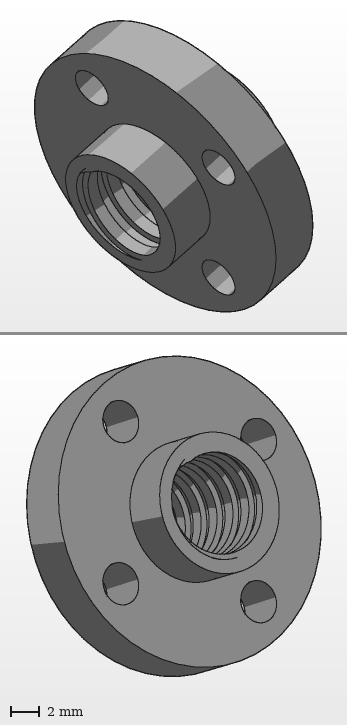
import cadquery as cq
import math

flange_diameter = 22.0
flange_thickness = 4.0
hub_diameter = 10.0
hub_length = 11.5

hole_diameter = 3.0
hole_spacing = 11.53

minor_diameter = 7.2
major_diameter = 8.0
pitch = 2.0
flank_angle = 15.0
groove_mouth_width = pitch / 2
groove_end_angle = 228.0
bore_overlap = 0.1


def make_body():
    """Flange centred on a hub, with the shared axis along Z."""
    hub = cq.Workplane("XY").cylinder(hub_length, hub_diameter / 2)
    flange = cq.Workplane("XY").cylinder(flange_thickness, flange_diameter / 2)
    return hub.union(flange)


def cut_holes(body):
    """Cut the threaded bore's core and the four mounting holes."""
    bore = cq.Workplane("XY").cylinder(hub_length, minor_diameter / 2)
    holes = (
        cq.Workplane("XY")
        .rect(hole_spacing, hole_spacing, forConstruction=True)
        .vertices()
        .cylinder(flange_thickness, hole_diameter / 2)
    )
    return body.cut(bore).cut(holes)


def make_thread_groove():
    """Helical trapezoidal cutter that runs one pitch past both hub ends."""
    inner_radius = minor_diameter / 2 - bore_overlap
    outer_radius = major_diameter / 2
    slope = math.tan(math.radians(flank_angle))
    inner_half = groove_mouth_width / 2 + bore_overlap * slope
    outer_half = inner_half - (outer_radius - inner_radius) * slope

    path = cq.Wire.makeHelix(pitch, hub_length + 2 * pitch, minor_diameter / 2)
    groove = (
        cq.Workplane("XZ")
        .polyline([
            (inner_radius, -inner_half),
            (outer_radius, -outer_half),
            (outer_radius, outer_half),
            (inner_radius, inner_half),
        ])
        .close()
        .sweep(cq.Workplane(path), isFrenet=True)
    )
    angle_at_front_face = 360 * (hub_length + pitch) / pitch
    return (
        groove.translate((0, 0, -hub_length / 2 - pitch))
        .rotate((0, 0, 0), (0, 0, 1), groove_end_angle - angle_at_front_face)
    )


nut = cut_holes(make_body().cut(make_thread_groove()))

result = nut.rotate((0, 0, 0), (1, 0, 0), 90)